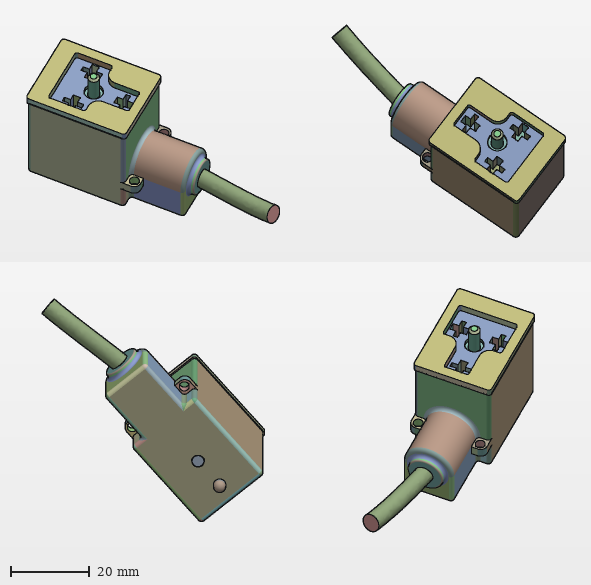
import cadquery as cq
import math


block_length = 27.3
block_width = 21.1
block_height = 28.0
edge_radius = 1.0

boss_radius = 6.9
boss_axis_z = 9.75
boss_end_x = 28.75
selection_margin = 0.1

collar_diameter = 9.75
collar_end_x = 30.5
collar_flare_radius = 0.95
collar_rim_radius = 0.4

cable_diameter = 4.9
cable_end = (52.9, -5.0, 12.6)
cable_start_direction = (1, -0.18, 0.06)
cable_end_direction = (1, -0.22, 0.3)

lug_end_x = 17.35
lug_bottom_z = 7.3
lug_thickness = 2.65
lug_corner_radius = 1.8
lug_hole_diameter = 2.5
lug_hole_x = 15.6
lug_hole_y = 8.6

dome_diameter = 3.2
dome_x = -8.5
dome_stem_length = 1.0

socket_wide_bar = (4.55, 1.95)
socket_narrow_bar = (1.2, 5.4)
socket_depth = 6.1
earth_socket_x = 8.4
pole_socket_x = -3.2
pole_socket_y = 5.5

gasket_length = 28.0
gasket_width = 21.5
gasket_thickness = 2.0
gasket_corner_radius = 0.9
opening_left_x = -8.95
opening_step_x = 1.5
opening_right_x = 11.4
opening_half_width = 8.1
opening_tongue_half_width = 3.4
opening_inner_diameter = 5.6
opening_inner_radius = opening_inner_diameter / 2
opening_corner_radius = 0.7
opening_tongue_corner_radius = 0.5

screw_diameter = 3.0
screw_top_z = 34.2
screw_chamfer = 0.6
screw_hole_diameter = 3.2
screw_recess_diameter = 4.9
screw_recess_depth = 1.0


def make_block():
    block = cq.Workplane("XY").box(block_length, block_width, block_height, centered=(True, True, False))
    return block.edges("|Z").fillet(edge_radius).faces("<Z").edges().fillet(edge_radius)


def make_boss():
    """Arch-shaped boss along +X, starting inside the block."""
    boss = (
        cq.Workplane("YZ")
        .moveTo(-boss_radius, 0)
        .lineTo(-boss_radius, boss_axis_z)
        .threePointArc((0, boss_axis_z + boss_radius), (boss_radius, boss_axis_z))
        .lineTo(boss_radius, 0)
        .close()
        .extrude(boss_end_x)
    )
    return boss.faces(">X or <Z").edges("not <X").fillet(edge_radius)


def make_block_with_boss():
    """Block and boss joined, with a concave fillet where the boss leaves the block."""
    root_x = block_length / 2
    root_half_width = boss_radius + selection_margin
    root_top_z = boss_axis_z + boss_radius + selection_margin
    root_edges = cq.selectors.BoxSelector(
        (root_x - selection_margin, -root_half_width, edge_radius - selection_margin),
        (root_x + selection_margin, root_half_width, root_top_z),
    )
    return make_block().union(make_boss()).edges(root_edges).fillet(edge_radius)


def make_collar():
    radius = collar_diameter / 2
    diagonal = math.sqrt(0.5)
    flare_end_x = boss_end_x + collar_flare_radius
    flare_mid = (
        flare_end_x - collar_flare_radius * diagonal,
        radius + collar_flare_radius * (1 - diagonal),
    )
    rim_mid = (
        collar_end_x - collar_rim_radius * (1 - diagonal),
        radius - collar_rim_radius * (1 - diagonal),
    )
    outline = (
        cq.Workplane("XY")
        .moveTo(boss_end_x - edge_radius, 0)
        .lineTo(boss_end_x - edge_radius, radius + collar_flare_radius)
        .lineTo(boss_end_x, radius + collar_flare_radius)
        .threePointArc(flare_mid, (flare_end_x, radius))
        .lineTo(collar_end_x - collar_rim_radius, radius)
        .threePointArc(rim_mid, (collar_end_x, radius - collar_rim_radius))
        .lineTo(collar_end_x, 0)
        .close()
    )
    return outline.revolve(360, (0, 0, 0), (1, 0, 0)).translate((0, 0, boss_axis_z))


def make_cable():
    start = cq.Vector(boss_end_x, 0, boss_axis_z)
    path = cq.Workplane("XY").spline(
        [start, cq.Vector(*cable_end)],
        tangents=[cq.Vector(*cable_start_direction), cq.Vector(*cable_end_direction)],
    )
    section_plane = cq.Plane(origin=start, xDir=(0, 1, 0), normal=cable_start_direction)
    return cq.Workplane(section_plane).circle(cable_diameter / 2).sweep(path)


def make_lugs():
    lugs = (
        cq.Workplane("XY", origin=(0, 0, lug_bottom_z))
        .box(lug_end_x, block_width, lug_thickness, centered=(False, True, False))
    )
    return lugs.edges("|Z and >X").fillet(lug_corner_radius)


def make_lug_holes():
    return (
        cq.Workplane("XY", origin=(0, 0, lug_bottom_z))
        .pushPoints([(lug_hole_x, lug_hole_y), (lug_hole_x, -lug_hole_y)])
        .circle(lug_hole_diameter / 2)
        .extrude(lug_thickness)
    )


def make_dome():
    radius = dome_diameter / 2
    stem = cq.Workplane("XY").circle(radius).extrude(edge_radius + dome_stem_length)
    cap = cq.Workplane("XY").sphere(radius)
    return stem.union(cap).translate((dome_x, 0, -dome_stem_length))


def make_socket(x, y, turn):
    """Cross-shaped pocket below the block's top face, turned about Z by an angle in degrees."""
    floor = cq.Workplane("XY", origin=(0, 0, block_height - socket_depth))
    wide_bar = floor.rect(*socket_wide_bar).extrude(socket_depth)
    narrow_bar = floor.rect(*socket_narrow_bar).extrude(socket_depth)
    return wide_bar.union(narrow_bar).rotate((0, 0, 0), (0, 0, 1), turn).translate((x, y, 0))


def make_screw_hole():
    bore = cq.Workplane("XY").circle(screw_hole_diameter / 2).extrude(block_height)
    recess = (
        cq.Workplane("XY", origin=(0, 0, block_height - screw_recess_depth))
        .circle(screw_recess_diameter / 2)
        .extrude(screw_recess_depth)
    )
    return bore.union(recess)


def make_housing():
    housing = make_block_with_boss()
    housing = housing.union(make_lugs()).cut(make_lug_holes())
    housing = housing.union(make_collar()).union(make_cable()).union(make_dome())
    housing = housing.cut(make_socket(earth_socket_x, 0, 0))
    for side in (1, -1):
        housing = housing.cut(make_socket(pole_socket_x, side * pole_socket_y, 90))
    return housing.cut(make_screw_hole())


def make_gasket_opening():
    right_start = opening_step_x + opening_inner_radius
    shoulder_y = opening_tongue_half_width + opening_inner_radius
    arc_offset = opening_inner_radius * (1 - math.sqrt(0.5))
    arc_mid_x = opening_step_x + arc_offset
    arc_mid_y = opening_tongue_half_width + arc_offset
    opening = (
        cq.Workplane("XY", origin=(0, 0, block_height))
        .moveTo(opening_left_x, -opening_half_width)
        .lineTo(opening_step_x, -opening_half_width)
        .lineTo(opening_step_x, -shoulder_y)
        .threePointArc((arc_mid_x, -arc_mid_y), (right_start, -opening_tongue_half_width))
        .lineTo(opening_right_x, -opening_tongue_half_width)
        .lineTo(opening_right_x, opening_tongue_half_width)
        .lineTo(right_start, opening_tongue_half_width)
        .threePointArc((arc_mid_x, arc_mid_y), (opening_step_x, shoulder_y))
        .lineTo(opening_step_x, opening_half_width)
        .lineTo(opening_left_x, opening_half_width)
        .close()
        .extrude(gasket_thickness)
    )
    opening = opening.edges("|Z and (>Y or <Y)").fillet(opening_corner_radius)
    return opening.edges("|Z and >X").fillet(opening_tongue_corner_radius)


def make_gasket():
    gasket = (
        cq.Workplane("XY", origin=(0, 0, block_height))
        .box(gasket_length, gasket_width, gasket_thickness, centered=(True, True, False))
        .edges("|Z")
        .fillet(gasket_corner_radius)
    )
    return gasket.cut(make_gasket_opening())


def make_screw():
    screw = cq.Workplane("XY").circle(screw_diameter / 2).extrude(screw_top_z)
    return screw.faces(">Z").chamfer(screw_chamfer)


housing = make_housing().solids()
gasket = make_gasket().solids()
screw = make_screw().solids()

result = cq.Compound.makeCompound([housing.val(), gasket.val(), screw.val()])